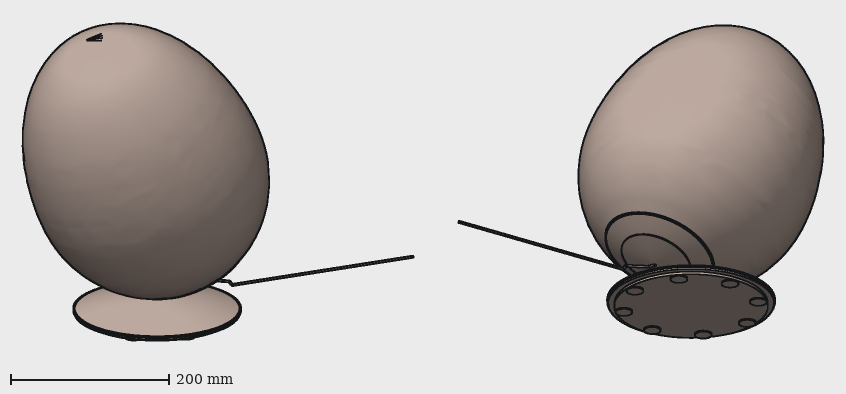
import cadquery as cq
import math

LEAN_ANGLE = 25.0
AXIS_FOOT_Y = 77.9
EGG_RADIUS = 149.68
WIDEST_HEIGHT = 208.0
TOP_LENGTH = 215.2
BOTTOM_LENGTH = 158.0
CUT_HEIGHT = 70.5
MERIDIAN_STEPS = 8

LID_APEX_HEIGHT = 50.7
LID_RIM_RADIUS = 73.0
SHADOW_GAP = 1.5
LID_RIM_HEIGHT = CUT_HEIGHT - SHADOW_GAP
DISC_RADIUS = 46.7
DISC_STEP = 1.4

RIM_RADIUS = 106.2
LIP_OVERHANG = 1.4
LIP_BOTTOM = 8.2
RIM_BOTTOM = 5.4
RIM_TOP = 10.3
DOME_RADIUS = 104.0
DOME_TOP = 30.5
PLATE_RADIUS = 97.0
PLATE_BOTTOM = 1.6
FOOT_COUNT = 8
FOOT_RADIUS = 10.75
FOOT_CIRCLE_RADIUS = PLATE_RADIUS - FOOT_RADIUS
NECK_RADIUS = 21.5
NECK_TOP = 36.0

CABLE_DIAMETER = 2.9
CABLE_HEIGHT = 26.0
CABLE_END_Y = 356.2
CABLE_PATH = [
    (CABLE_END_Y, CABLE_HEIGHT),
    (105.0, CABLE_HEIGHT),
    (100.0, 31.5),
    (66.0, 39.0),
    (50.0, 47.0),
]


def lean(body):
    """Move a body built on the Z axis onto the leaning egg axis."""
    return body.rotate((0, 0, 0), (1, 0, 0), LEAN_ANGLE).translate((0, AXIS_FOOT_Y, 0))


def meridian_point(angle):
    """Point (radius, height) of the egg outline; angle is 0 at the widest section, 90 at the top."""
    a = math.radians(angle)
    half_length = TOP_LENGTH if angle > 0 else BOTTOM_LENGTH
    return EGG_RADIUS * math.cos(a), WIDEST_HEIGHT + half_length * math.sin(a)


def make_egg():
    cut_angle = -math.degrees(math.asin((WIDEST_HEIGHT - CUT_HEIGHT) / BOTTOM_LENGTH))
    lower_angles = [cut_angle * (1 - i / MERIDIAN_STEPS) for i in range(MERIDIAN_STEPS)]
    upper_angles = [90 * i / MERIDIAN_STEPS for i in range(MERIDIAN_STEPS + 1)]
    meridian = [meridian_point(angle) for angle in lower_angles + upper_angles]
    profile = (
        cq.Workplane("XZ")
        .moveTo(0, CUT_HEIGHT)
        .lineTo(*meridian[0])
        .spline(meridian[1:], includeCurrent=True)
        .close()
    )
    return lean(profile.revolve(360, (0, 0, 0), (0, 1, 0)))


def make_lid():
    rise = LID_RIM_HEIGHT - LID_APEX_HEIGHT
    sphere_radius = (LID_RIM_RADIUS**2 + rise**2) / (2 * rise)

    def dome_height(radius):
        return LID_APEX_HEIGHT + sphere_radius - math.sqrt(sphere_radius**2 - radius**2)

    mid_radius = LID_RIM_RADIUS / 2
    land_radius = LID_RIM_RADIUS - SHADOW_GAP
    lid = (
        cq.Workplane("XZ")
        .moveTo(0, LID_APEX_HEIGHT)
        .threePointArc((mid_radius, dome_height(mid_radius)), (LID_RIM_RADIUS, LID_RIM_HEIGHT))
        .lineTo(land_radius, LID_RIM_HEIGHT)
        .lineTo(land_radius, CUT_HEIGHT)
        .lineTo(0, CUT_HEIGHT)
        .close()
        .revolve(360, (0, 0, 0), (0, 1, 0))
    )
    disc_root_height = dome_height(DISC_RADIUS)
    disc = (
        cq.Workplane("XZ")
        .moveTo(0, LID_APEX_HEIGHT - DISC_STEP)
        .threePointArc(
            (DISC_RADIUS / 2, dome_height(DISC_RADIUS / 2) - DISC_STEP),
            (DISC_RADIUS, disc_root_height - DISC_STEP),
        )
        .lineTo(DISC_RADIUS, disc_root_height)
        .lineTo(0, disc_root_height)
        .close()
        .revolve(360, (0, 0, 0), (0, 1, 0))
    )
    return lean(lid.union(disc))


def make_base():
    dome_rise = DOME_TOP - RIM_TOP
    sphere_radius = (DOME_RADIUS**2 + dome_rise**2) / (2 * dome_rise)
    mid_radius = DOME_RADIUS / 2
    mid_height = DOME_TOP - sphere_radius + math.sqrt(sphere_radius**2 - mid_radius**2)
    base = (
        cq.Workplane("XZ")
        .moveTo(0, PLATE_BOTTOM)
        .lineTo(PLATE_RADIUS, PLATE_BOTTOM)
        .lineTo(PLATE_RADIUS, RIM_BOTTOM)
        .lineTo(RIM_RADIUS - LIP_OVERHANG, RIM_BOTTOM)
        .lineTo(RIM_RADIUS - LIP_OVERHANG, LIP_BOTTOM)
        .lineTo(RIM_RADIUS, LIP_BOTTOM)
        .lineTo(RIM_RADIUS, RIM_TOP)
        .lineTo(DOME_RADIUS, RIM_TOP)
        .threePointArc((mid_radius, mid_height), (0, DOME_TOP))
        .close()
        .revolve(360, (0, 0, 0), (0, 1, 0))
    )
    feet = (
        cq.Workplane("XY")
        .polarArray(FOOT_CIRCLE_RADIUS, 0, 360, FOOT_COUNT)
        .circle(FOOT_RADIUS)
        .extrude(PLATE_BOTTOM)
    )
    return base.union(feet)


def make_neck():
    return (
        cq.Workplane("XY")
        .workplane(offset=RIM_TOP)
        .circle(NECK_RADIUS)
        .extrude(NECK_TOP - RIM_TOP)
    )


def make_cable():
    path = cq.Workplane("YZ").polyline(CABLE_PATH)
    return (
        cq.Workplane("XZ", origin=(0, CABLE_END_Y, CABLE_HEIGHT))
        .circle(CABLE_DIAMETER / 2)
        .sweep(path, transition="round")
    )


def make_stand(egg):
    """Base, neck, lid and cable in one piece; the neck is trimmed where it meets the egg."""
    neck = make_neck().cut(egg)
    return make_base().union(neck).union(make_lid()).union(make_cable())


egg = make_egg()
stand = make_stand(egg)

result = cq.Compound.makeCompound([egg.val(), *stand.vals()])